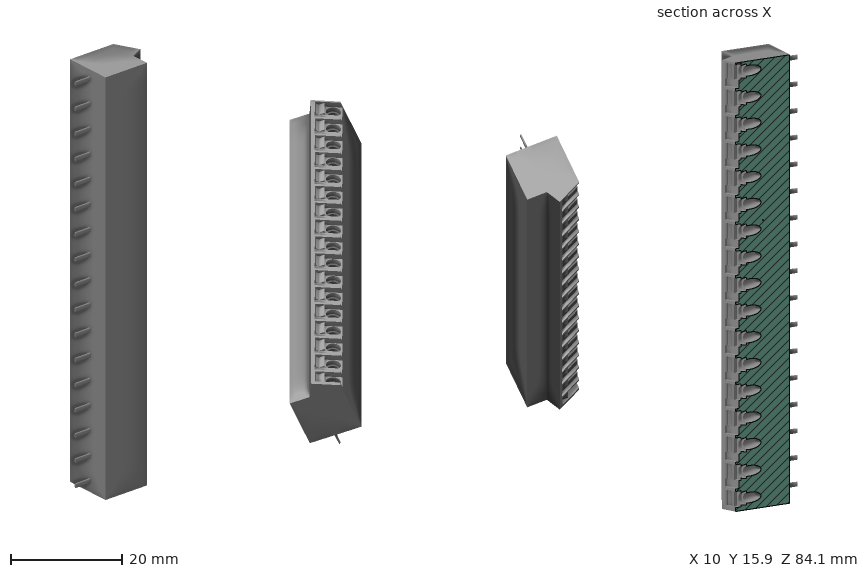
import cadquery as cq
import math

width = 10.0
length = 84.1
rear_height = 9.7
shoulder_x = 6.15
ridge_x = 4.8
ridge_y = 12.45
left_wall_height = 10.15

pole_count = 17
pitch = 5.0
first_pole_z = 2.27

entry_start = 2.5
entry_depth = 1.05
entry_height = 2.95

notch_top_x = 4.1
notch_step_height = 0.25
notch_floor_depth = 0.2
notch_upper_lean = 12.0
notch_ramp_lean = 48.0

wire_hole_diameter = 2.7
wire_hole_depth = 0.95
clamp_bore_diameter = 1.9
clamp_bore_depth = 6.0

recess_start = 0.65
recess_depth = 0.65
recess_height = 1.5

pin_x = 5.6
pin_length = 3.45
pin_base_thickness = 0.4
pin_base_width = 1.0
pin_tip_thickness = 0.3
pin_tip_width = 0.9

overrun = 2.0

slope_angle = math.atan2(ridge_y - left_wall_height, ridge_x)
slope_length = math.hypot(ridge_x, ridge_y - left_wall_height)


def slope_point(distance, depth):
    """XY point at a distance down the slope from the ridge and a depth below the sloping face."""
    return (
        ridge_x - distance * math.cos(slope_angle) + depth * math.sin(slope_angle),
        ridge_y - distance * math.sin(slope_angle) - depth * math.cos(slope_angle),
    )


def prism(outline, z_middle, height):
    base = cq.Workplane("XY").workplane(offset=z_middle - height / 2)
    return base.polyline(outline).close().extrude(height)


def make_housing():
    outline = [
        (0, 0),
        (width, 0),
        (width, rear_height),
        (shoulder_x, rear_height),
        (ridge_x, ridge_y),
        (0, left_wall_height),
    ]
    return prism(outline, length / 2, length)


def slope_pocket(z, start, depth, height):
    """Pocket with a wall square to the slope, running down the slope and out through the left wall."""
    end = slope_length + overrun
    outline = [
        slope_point(start, -overrun),
        slope_point(start, depth),
        slope_point(end, depth),
        slope_point(end, -overrun),
    ]
    return prism(outline, z, height)


def stepped_notch(z):
    """Notch with a three-faced back wall and a floor that reaches the entry wall."""
    entry_edge = slope_point(entry_start, notch_floor_depth)
    top_y = ridge_y - (ridge_x - notch_top_x) * math.tan(slope_angle)
    upper_x = notch_top_x - notch_step_height * math.tan(math.radians(notch_upper_lean))
    upper_y = top_y - notch_step_height
    undercut_x = upper_x + notch_step_height * math.tan(slope_angle)
    undercut_y = upper_y - notch_step_height
    ramp_x = undercut_x - (undercut_y - entry_edge[1]) * math.tan(math.radians(notch_ramp_lean))
    outline = [
        (notch_top_x, top_y),
        (upper_x, upper_y),
        (undercut_x, undercut_y),
        (ramp_x, entry_edge[1]),
        entry_edge,
        slope_point(entry_start, 0),
    ]
    return prism(outline, z, entry_height)


def floor_hole(z, diameter, depth):
    """Round hole sunk square into the middle of the entry floor."""
    floor_end = slope_length + entry_depth * math.tan(slope_angle)
    x, y = slope_point((entry_start + floor_end) / 2, entry_depth)
    inward = cq.Vector(math.sin(slope_angle), -math.cos(slope_angle), 0)
    return cq.Workplane(cq.Solid.makeCylinder(diameter / 2, depth, cq.Vector(x, y, z), inward))


def make_pin(z):
    base = cq.Workplane("XZ", origin=(pin_x, 0, z)).ellipse(pin_base_thickness / 2, pin_base_width / 2)
    tip = base.workplane(offset=pin_length).ellipse(pin_tip_thickness / 2, pin_tip_width / 2)
    return tip.loft(combine=True)


result = make_housing()

for pole in range(pole_count):
    pole_z = first_pole_z + pole * pitch
    result = result.cut(slope_pocket(pole_z, entry_start, entry_depth, entry_height))
    result = result.cut(stepped_notch(pole_z))
    result = result.cut(floor_hole(pole_z, wire_hole_diameter, wire_hole_depth))
    result = result.cut(floor_hole(pole_z, clamp_bore_diameter, clamp_bore_depth))
    result = result.union(make_pin(pole_z))

    if pole > 0:
        recess_z = pole_z - (entry_height + recess_height) / 2
        result = result.cut(slope_pocket(recess_z, recess_start, recess_depth, recess_height))